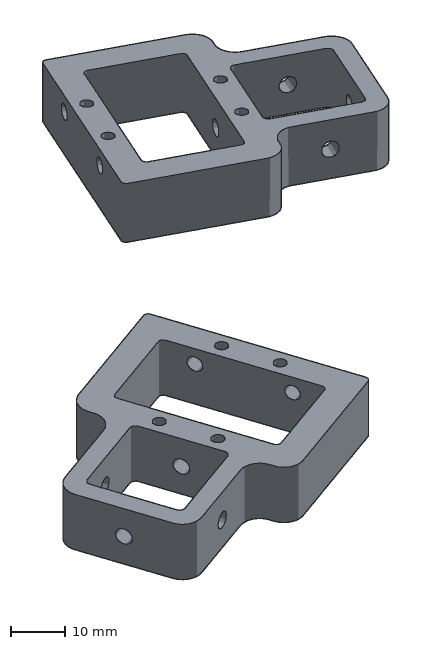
import cadquery as cq

thickness = 12.7
mid_height = thickness / 2

wide_window_x = 34.0
narrow_window_x = 20.0
window_y = 20.0
thick_wall = 6.0
thin_wall = 4.0

wide_frame_x = wide_window_x + 2 * thick_wall
wide_frame_y = window_y + 2 * thick_wall
narrow_frame_x = narrow_window_x + 2 * thin_wall
total_y = wide_frame_y + window_y + thin_wall

outer_radius = 4.0
front_corner_radius = 1.0
wide_window_radius = 1.0
narrow_window_radius = 1.2

pin_diameter = 2.53
pin_spacing_x = 12.0
front_hole_diameter = 3.2
front_hole_spacing_x = 20.0
front_hole_z = 9.2
cross_hole_diameter = 3.4
side_hole_from_back = 12.5


def outer_body():
    """Stepped outline with rounded corners, extruded upward from Z = 0."""
    half_wide = wide_frame_x / 2
    half_narrow = narrow_frame_x / 2
    outline = [
        (-half_wide, 0),
        (half_wide, 0),
        (half_wide, wide_frame_y),
        (half_narrow, wide_frame_y),
        (half_narrow, total_y),
        (-half_narrow, total_y),
        (-half_narrow, wide_frame_y),
        (-half_wide, wide_frame_y),
    ]
    body = cq.Workplane("XY").polyline(outline).close().extrude(thickness)
    body = body.faces("<Y").edges("|Z").fillet(front_corner_radius)
    behind_front = cq.selectors.BoxSelector(
        (-wide_frame_x, wide_frame_y / 2, -thickness),
        (wide_frame_x, total_y + thick_wall, 2 * thickness),
    )
    return body.edges("|Z").edges(behind_front).fillet(outer_radius)


def window(size_x, front_y, corner_radius):
    """Rounded rectangular opening whose front edge is at front_y."""
    return (
        cq.Workplane("XY")
        .center(0, front_y + window_y / 2)
        .rect(size_x, window_y)
        .extrude(thickness)
        .edges("|Z")
        .fillet(corner_radius)
    )


def hole_along_y(diameter, x, z, start_y, end_y):
    """Round cutter parallel to Y between two Y positions."""
    axis_start = cq.Vector(x, start_y, z)
    return cq.Solid.makeCylinder(diameter / 2, end_y - start_y, axis_start, cq.Vector(0, 1, 0))


def pin_holes():
    """Vertical holes: one pair in the front wall, one pair in the middle wall."""
    wall_centres_y = (thick_wall / 2, wide_frame_y - thick_wall / 2)
    places = [(side * pin_spacing_x / 2, y) for side in (-1, 1) for y in wall_centres_y]
    return cq.Workplane("XY").pushPoints(places).circle(pin_diameter / 2).extrude(thickness)


def side_hole():
    """Hole along X through both side walls of the narrow frame."""
    axis_start = cq.Vector(-narrow_frame_x / 2, total_y - side_hole_from_back, mid_height)
    return cq.Solid.makeCylinder(cross_hole_diameter / 2, narrow_frame_x, axis_start, cq.Vector(1, 0, 0))


result = outer_body()
result = result.cut(window(wide_window_x, thick_wall, wide_window_radius))
result = result.cut(window(narrow_window_x, wide_frame_y, narrow_window_radius))
result = result.cut(pin_holes())
result = result.cut(side_hole())

for side in (-1, 1):
    front_hole_x = side * front_hole_spacing_x / 2
    result = result.cut(hole_along_y(front_hole_diameter, front_hole_x, front_hole_z, 0, thick_wall))

middle_wall_front_y = wide_frame_y - thick_wall
result = result.cut(hole_along_y(cross_hole_diameter, 0, mid_height, middle_wall_front_y, total_y))